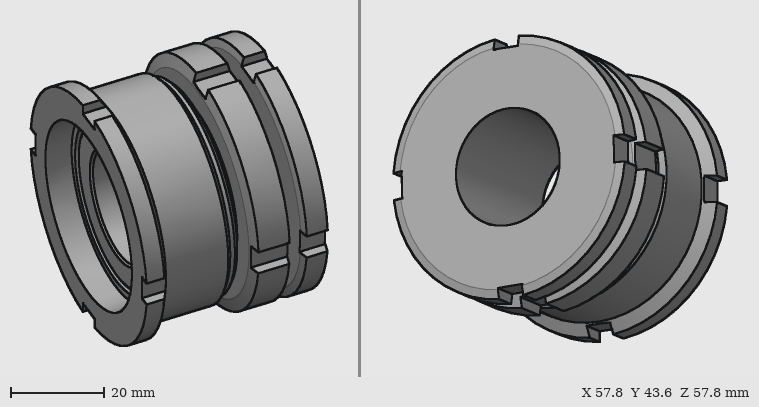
import cadquery as cq
import math

outer_diameter = 58.0
outer_radius = outer_diameter / 2
overall_length = 43.6

slot_count = 4
slot_floor_radius = 26.5
housing_slot_width = 5.85
ring_slot_width = 6.0
lock_ring_turn = 1.7
sleeve_turn = 1.1

flange_rim_length = 4.2
flange_length = 5.95
barrel_radius = 26.1
barrel_end = 20.75
step_start = 21.85
step_radius = 24.8
step_end = 22.95
step_chamfer = 1.05
housing_length = step_end + step_chamfer
counterbore_radius = 21.55
counterbore_depth = 6.25
housing_bore_radius = 19.1
housing_bore_chamfer = 0.75

thread_radius = 20.05
lock_ring_front = 25.8
lock_ring_length = 9.0
lock_ring_rear = lock_ring_front + lock_ring_length
lock_ring_bevel_length = 0.8
lock_ring_face_radius = 25.9

nose_front = 6.7
nose_clearance = 0.1
nose_radius = housing_bore_radius - nose_clearance
sleeve_bore_radius = 12.95
sleeve_bore_chamfer = 0.5
sleeve_flange_length = 6.0
sleeve_flange_front = overall_length - sleeve_flange_length
sleeve_flange_bevel_length = 0.5
sleeve_flange_face_radius = 27.0

relief_radius = 18.85
relief_fillet = 0.6
relief_angle = math.radians(45)
exposed_thread = 0.05
thread_end = lock_ring_rear + exposed_thread


def revolve_about_y(outline):
    """Revolve a closed (radius, y) outline once around the Y axis."""
    return outline.close().revolve(360, (0, 0, 0), (0, 1, 0))


def cut_slots(body, width, y_start, y_end, turn):
    """Cut evenly spaced rim slots between two stations, turned about the Y axis."""
    cutter_height = 2 * (outer_radius - slot_floor_radius)
    for index in range(slot_count):
        slot = (
            cq.Workplane("XY")
            .box(width, y_end - y_start, cutter_height, centered=(True, False, False))
            .translate((0, y_start, slot_floor_radius))
            .rotate((0, 0, 0), (0, 1, 0), turn + index * 360 / slot_count)
        )
        body = body.cut(slot)
    return body


def make_housing():
    outline = cq.Workplane("XY").polyline([
        (counterbore_radius, 0),
        (outer_radius, 0),
        (outer_radius, flange_rim_length),
        (barrel_radius, flange_length),
        (barrel_radius, barrel_end),
        (step_radius, step_start),
        (step_radius, step_end),
        (step_radius - step_chamfer, housing_length),
        (housing_bore_radius, housing_length),
        (housing_bore_radius, counterbore_depth + housing_bore_chamfer),
        (housing_bore_radius + housing_bore_chamfer, counterbore_depth),
        (counterbore_radius, counterbore_depth),
    ])
    return cut_slots(revolve_about_y(outline), housing_slot_width, 0, flange_length, 0)


def make_lock_ring():
    outline = cq.Workplane("XY").polyline([
        (thread_radius, lock_ring_front),
        (lock_ring_face_radius, lock_ring_front),
        (outer_radius, lock_ring_front + lock_ring_bevel_length),
        (outer_radius, lock_ring_rear - lock_ring_bevel_length),
        (lock_ring_face_radius, lock_ring_rear),
        (thread_radius, lock_ring_rear),
    ])
    return cut_slots(
        revolve_about_y(outline), ring_slot_width, lock_ring_front, lock_ring_rear, lock_ring_turn
    )


def make_sleeve():
    cone_end_radius = relief_radius + relief_fillet * (1 - math.cos(relief_angle))
    cone_end_y = thread_end + (thread_radius - cone_end_radius) / math.tan(relief_angle)
    neck_start = cone_end_y + relief_fillet * math.sin(relief_angle)
    half_angle = relief_angle / 2
    fillet_middle = (
        relief_radius + relief_fillet * (1 - math.cos(half_angle)),
        neck_start - relief_fillet * math.sin(half_angle),
    )
    outline = (
        cq.Workplane("XY")
        .moveTo(sleeve_bore_radius + sleeve_bore_chamfer, nose_front)
        .lineTo(nose_radius, nose_front)
        .lineTo(nose_radius, housing_length)
        .lineTo(thread_radius, housing_length)
        .lineTo(thread_radius, thread_end)
        .lineTo(cone_end_radius, cone_end_y)
        .threePointArc(fillet_middle, (relief_radius, neck_start))
        .lineTo(relief_radius, sleeve_flange_front)
        .lineTo(sleeve_flange_face_radius, sleeve_flange_front)
        .lineTo(outer_radius, sleeve_flange_front + sleeve_flange_bevel_length)
        .lineTo(outer_radius, overall_length - sleeve_flange_bevel_length)
        .lineTo(sleeve_flange_face_radius, overall_length)
        .lineTo(sleeve_bore_radius, overall_length)
        .lineTo(sleeve_bore_radius, nose_front + sleeve_bore_chamfer)
    )
    return cut_slots(
        revolve_about_y(outline), ring_slot_width, sleeve_flange_front, overall_length, sleeve_turn
    )


housing = make_housing()
lock_ring = make_lock_ring()
sleeve = make_sleeve()

result = cq.Compound.makeCompound([housing.val(), lock_ring.val(), sleeve.val()])